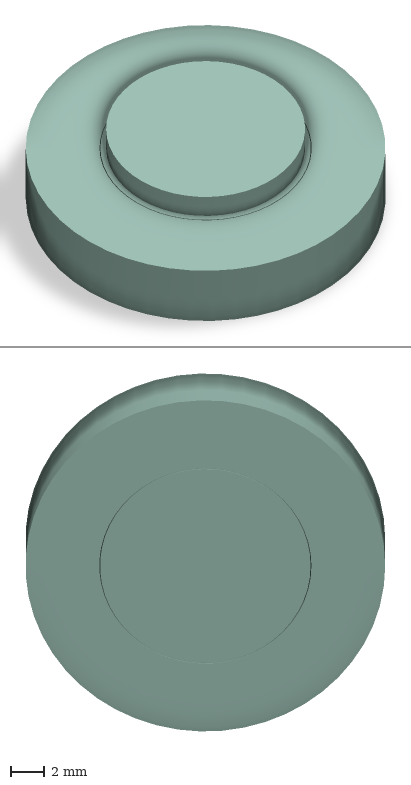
import cadquery as cq

housing_diameter = 21.7
housing_height = 4.15
total_height = 5.7
bore_diameter = 12.8
flange_diameter = 12.7
button_diameter = 12.0
flange_top = housing_height


def make_housing():
    """Plain ring with a through bore for the button."""
    return (
        cq.Workplane("XY")
        .circle(housing_diameter / 2)
        .circle(bore_diameter / 2)
        .extrude(housing_height)
    )


def make_button():
    """Stepped disc: a wide flange inside the bore and a narrower raised cap."""
    flange = cq.Workplane("XY").circle(flange_diameter / 2).extrude(flange_top)
    cap = (
        cq.Workplane("XY")
        .workplane(offset=flange_top)
        .circle(button_diameter / 2)
        .extrude(total_height - flange_top)
    )
    return flange.union(cap)


housing = make_housing()
button = make_button()

result = cq.Compound.makeCompound([housing.val(), button.val()])